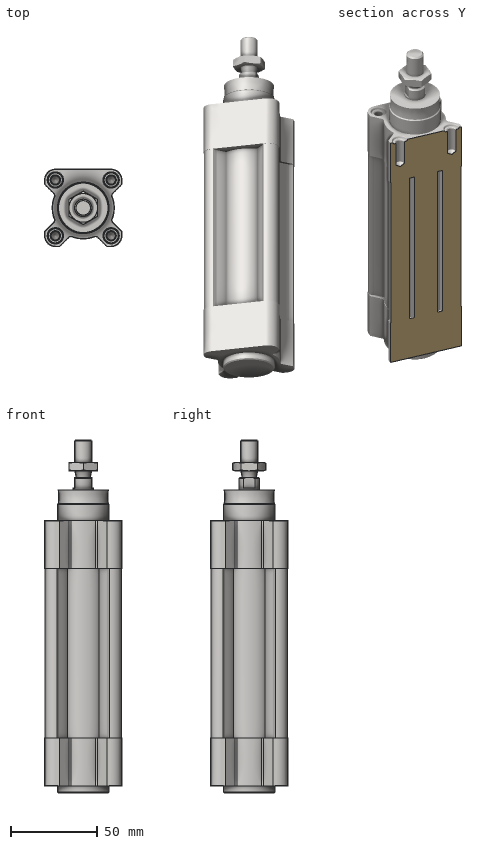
import cadquery as cq
import math


CAP_LENGTH = 27.9
BARREL_LENGTH = 98.2
SPIGOT_LENGTH = 4.0
BARREL_BOTTOM = SPIGOT_LENGTH + CAP_LENGTH
BARREL_TOP = BARREL_BOTTOM + BARREL_LENGTH
CAP_TOP = BARREL_TOP + CAP_LENGTH
TOTAL_HEIGHT = 205.0

WIDTH = 45.0
HALF_WIDTH = WIDTH / 2
SCREW_OFFSET = 16.2
WAIST_RADIUS = 18.0
BARREL_INSET = 0.2

CAP_MOUTH = 13.7
CAP_FLOOR = 8.2
CAP_WAIST = 7.0

BARREL_MOUTH = 15.2
BARREL_BEND = 14.0
BARREL_WAIST = 9.2

NECK_DIAMETER = 30.0
NECK_LENGTH = 10.0
NECK_CHAMFER = 0.6
SPIGOT_CHAMFER = 0.6
COLLAR_DIAMETER = 29.1
COLLAR_WAIST_DIAMETER = 28.5
COLLAR_LENGTH = 7.8
COLLAR_BOTTOM = CAP_TOP + NECK_LENGTH
COLLAR_TOP = COLLAR_BOTTOM + COLLAR_LENGTH

SOCKET_MOUTH_DIAMETER = 9.5
SOCKET_DIAMETER = 9.0
SOCKET_CHAMFER = (SOCKET_MOUTH_DIAMETER - SOCKET_DIAMETER) / 2
SOCKET_FLOOR_DIAMETER = 8.2
SOCKET_DEPTH = 1.0
BORE_MOUTH_DIAMETER = 6.0
BORE_DIAMETER = 5.0
BORE_CHAMFER = (BORE_MOUTH_DIAMETER - BORE_DIAMETER) / 2
BORE_DEPTH = 16.5
DRILL_POINT_ANGLE = 118.0

ROD_DIAMETER = 12.0
ROD_BOTTOM = BARREL_TOP
FLAT_SPACING = 10.0
FLAT_CLEARANCE = 1.0
FLAT_BOTTOM = COLLAR_TOP + FLAT_CLEARANCE
THREAD_DIAMETER = 10.0
THREAD_LENGTH = 22.0
SHOULDER = TOTAL_HEIGHT - THREAD_LENGTH
SHOULDER_CHAMFER = 0.6
UNDERCUT_DIAMETER = 8.6
UNDERCUT_LENGTH = 1.0
UNDERCUT_RUNOUT = 3.7
TIP_CHAMFER = 0.8

NUT_SIDES = 6
HALF_SIDE_ANGLE = 180 / NUT_SIDES
NUT_FLATS = 16.8
NUT_BOTTOM = 187.0
NUT_HEIGHT = 5.0
NUT_CHAMFER_DIAMETER = 16.6
NUT_CHAMFER_ANGLE = 20.0


def cylinder(diameter, bottom, height):
    """Cylinder on the Z axis."""
    return cq.Workplane("XY").workplane(offset=bottom).circle(diameter / 2).extrude(height)


def square_block(bottom, height, half_width):
    """Square column with its corners rounded about the screw axes."""
    return (
        cq.Workplane("XY")
        .workplane(offset=bottom)
        .rect(2 * half_width, 2 * half_width)
        .extrude(height)
        .edges("|Z")
        .fillet(half_width - SCREW_OFFSET)
    )


def side_recess(flank, waist_radius, bottom, height, angle):
    """Recess with a bulging floor; flank lists (half width, depth position) from the mouth inwards."""
    mirrored = [(-x, y) for x, y in reversed(flank)]
    outline = (
        cq.Workplane("XY")
        .workplane(offset=bottom)
        .polyline([(x, -y) for x, y in flank])
        .threePointArc((0, -waist_radius), (mirrored[0][0], -mirrored[0][1]))
    )
    for x, y in mirrored[1:]:
        outline = outline.lineTo(x, -y)
    return outline.close().extrude(height).rotate((0, 0, 0), (0, 0, 1), angle)


def waist_depth(waist_radius, half_width):
    """Distance from the axis plane to the waist circle at a given half width."""
    return math.sqrt(waist_radius**2 - half_width**2)


def cap(bottom):
    """End cap, recessed on three sides and plain on the +Y side."""
    floor = HALF_WIDTH - (CAP_MOUTH - CAP_FLOOR)
    waist = waist_depth(WAIST_RADIUS, CAP_WAIST)
    flank = [(CAP_MOUTH, HALF_WIDTH), (CAP_FLOOR, floor), (CAP_WAIST, waist)]
    body = square_block(bottom, CAP_LENGTH, HALF_WIDTH)
    for angle in (-90, 0, 90):
        body = body.cut(side_recess(flank, WAIST_RADIUS, bottom, CAP_LENGTH, angle))
    return body


def barrel():
    """Barrel between the caps, recessed on all four sides."""
    half_width = HALF_WIDTH - BARREL_INSET
    waist_radius = WAIST_RADIUS - BARREL_INSET
    floor = waist_depth(waist_radius, BARREL_WAIST)
    bend = floor + BARREL_BEND - BARREL_WAIST
    flank = [(BARREL_MOUTH, half_width), (BARREL_BEND, bend), (BARREL_WAIST, floor)]
    body = square_block(BARREL_BOTTOM, BARREL_LENGTH, half_width)
    for angle in (-90, 0, 90, 180):
        body = body.cut(side_recess(flank, waist_radius, BARREL_BOTTOM, BARREL_LENGTH, angle))
    return body


def collar():
    """Collar with a slightly hollow side."""
    middle = COLLAR_BOTTOM + COLLAR_LENGTH / 2
    return (
        cq.Workplane("XZ")
        .moveTo(0, COLLAR_BOTTOM)
        .lineTo(COLLAR_DIAMETER / 2, COLLAR_BOTTOM)
        .threePointArc((COLLAR_WAIST_DIAMETER / 2, middle), (COLLAR_DIAMETER / 2, COLLAR_TOP))
        .lineTo(0, COLLAR_TOP)
        .close()
        .revolve(360, (0, 0, 0), (0, 1, 0))
    )


def screw_socket():
    """Cutter for one screw head socket with its bore and drill point, on the Z axis."""
    socket_floor = CAP_TOP - SOCKET_DEPTH
    bore_floor = CAP_TOP - BORE_DEPTH
    tip = bore_floor - BORE_DIAMETER / 2 / math.tan(math.radians(DRILL_POINT_ANGLE / 2))
    return (
        cq.Workplane("XZ")
        .moveTo(0, tip)
        .lineTo(BORE_DIAMETER / 2, bore_floor)
        .lineTo(BORE_DIAMETER / 2, socket_floor - BORE_CHAMFER)
        .lineTo(BORE_MOUTH_DIAMETER / 2, socket_floor)
        .lineTo(SOCKET_FLOOR_DIAMETER / 2, socket_floor)
        .lineTo(SOCKET_DIAMETER / 2, CAP_TOP - SOCKET_CHAMFER)
        .lineTo(SOCKET_MOUTH_DIAMETER / 2, CAP_TOP)
        .lineTo(0, CAP_TOP)
        .close()
        .revolve(360, (0, 0, 0), (0, 1, 0))
    )


def make_housing():
    """Barrel, caps, spigot, neck and collar as one body, with the rod hole and the screw sockets."""
    spigot = cylinder(NECK_DIAMETER, 0, SPIGOT_LENGTH).faces("<Z").chamfer(SPIGOT_CHAMFER)
    neck = cylinder(NECK_DIAMETER, CAP_TOP, NECK_LENGTH).faces(">Z").chamfer(NECK_CHAMFER)
    body = barrel().union(cap(SPIGOT_LENGTH)).union(cap(BARREL_TOP))
    body = body.union(spigot).union(neck).union(collar())
    body = body.cut(cylinder(ROD_DIAMETER, ROD_BOTTOM, COLLAR_TOP - ROD_BOTTOM))
    for x in (-SCREW_OFFSET, SCREW_OFFSET):
        for y in (-SCREW_OFFSET, SCREW_OFFSET):
            body = body.cut(screw_socket().translate((x, y, 0)))
    return body


def make_rod():
    """Piston rod with wrench flats, thread undercut and a smooth thread."""
    undercut_top = SHOULDER + UNDERCUT_LENGTH
    rod = (
        cq.Workplane("XZ")
        .moveTo(0, ROD_BOTTOM)
        .lineTo(ROD_DIAMETER / 2, ROD_BOTTOM)
        .lineTo(ROD_DIAMETER / 2, SHOULDER - SHOULDER_CHAMFER)
        .lineTo(ROD_DIAMETER / 2 - SHOULDER_CHAMFER, SHOULDER)
        .lineTo(UNDERCUT_DIAMETER / 2, SHOULDER)
        .lineTo(UNDERCUT_DIAMETER / 2, undercut_top)
        .lineTo(THREAD_DIAMETER / 2, undercut_top + UNDERCUT_RUNOUT)
        .lineTo(THREAD_DIAMETER / 2, TOTAL_HEIGHT - TIP_CHAMFER)
        .lineTo(THREAD_DIAMETER / 2 - TIP_CHAMFER, TOTAL_HEIGHT)
        .lineTo(0, TOTAL_HEIGHT)
        .close()
        .revolve(360, (0, 0, 0), (0, 1, 0))
    )
    flat_height = SHOULDER - FLAT_BOTTOM
    for side in (-1, 1):
        cutter = cq.Workplane("XY").rect(ROD_DIAMETER, ROD_DIAMETER).extrude(flat_height)
        rod = rod.cut(cutter.translate((side * (FLAT_SPACING + ROD_DIAMETER) / 2, 0, FLAT_BOTTOM)))
    return rod


def make_nut():
    """Hexagon nut with flats facing X and turned corners on both ends."""
    corner_radius = NUT_FLATS / 2 / math.cos(math.radians(HALF_SIDE_ANGLE))
    chamfer_radius = NUT_CHAMFER_DIAMETER / 2
    chamfer_height = (corner_radius - chamfer_radius) * math.tan(math.radians(NUT_CHAMFER_ANGLE))
    hexagon = cq.Workplane("XY").polygon(NUT_SIDES, 2 * corner_radius).extrude(NUT_HEIGHT)
    hexagon = hexagon.rotate((0, 0, 0), (0, 0, 1), HALF_SIDE_ANGLE)
    turned = (
        cq.Workplane("XZ")
        .moveTo(0, 0)
        .lineTo(chamfer_radius, 0)
        .lineTo(corner_radius, chamfer_height)
        .lineTo(corner_radius, NUT_HEIGHT - chamfer_height)
        .lineTo(chamfer_radius, NUT_HEIGHT)
        .lineTo(0, NUT_HEIGHT)
        .close()
        .revolve(360, (0, 0, 0), (0, 1, 0))
    )
    nut = hexagon.intersect(turned).translate((0, 0, NUT_BOTTOM))
    return nut.cut(cylinder(THREAD_DIAMETER, NUT_BOTTOM, NUT_HEIGHT))


housing = make_housing()
rod = make_rod()
nut = make_nut()

result = cq.Compound.makeCompound([housing.val(), rod.val(), nut.val()])